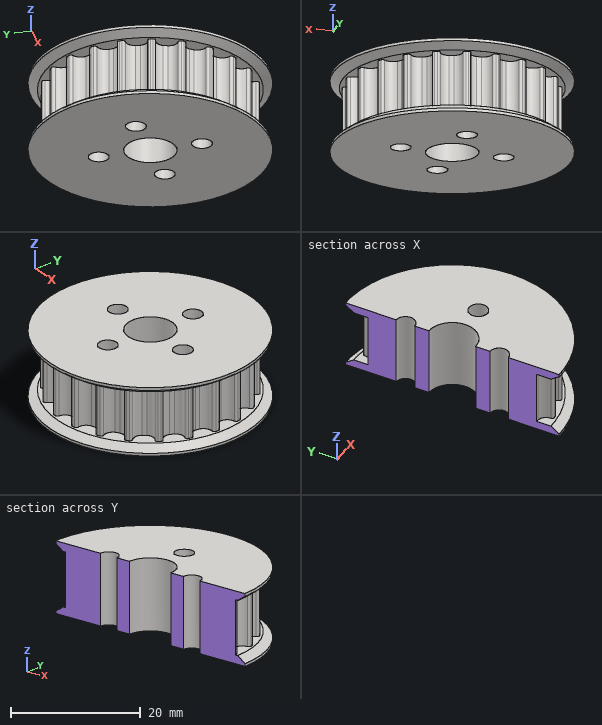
import cadquery as cq
import math

tooth_count = 22
belt_pitch = 5.0
pitch_line_offset = 0.5715
groove_depth = 2.06
groove_half_width = 1.74
floor_half_width = 0.38
tip_radius = 0.4

total_height = 12.0
flange_diameter = 37.73
flange_thickness = 1.5
flange_rim_thickness = 0.5
flange_inner_diameter = 34.8

bore_diameter = 8.2
screw_hole_diameter = 3.2
screw_circle_radius = 8.25
screw_count = 4

tip_circle_radius = tooth_count * belt_pitch / (2 * math.pi) - pitch_line_offset
floor_y = groove_depth - tip_circle_radius
tooth_height = total_height - 2 * flange_thickness


def rotated(point, angle):
    x, y = point
    cosine = math.cos(angle)
    sine = math.sin(angle)
    return (x * cosine - y * sine, x * sine + y * cosine)


def mirrored(point):
    x, y = point
    return (-x, y)


def point_on_circle(center, radius, angle):
    return (center[0] + radius * math.cos(angle), center[1] + radius * math.sin(angle))


def make_toothed_core():
    """Disc whose outline repeats one groove: flat floor, round flanks and rounded tooth tips."""
    floor_corner = (floor_half_width, floor_y)

    tip_center_x = groove_half_width + tip_radius
    tip_center_y = -math.sqrt((tip_circle_radius - tip_radius) ** 2 - tip_center_x**2)
    tip_center = (tip_center_x, tip_center_y)
    land_angle = math.atan2(tip_center_y, tip_center_x)
    land_corner = point_on_circle((0, 0), tip_circle_radius, land_angle)
    tip_mid = point_on_circle(tip_center, tip_radius, (land_angle - math.pi) / 2)

    flank_end = (groove_half_width, tip_center_y)
    flank_width = groove_half_width - floor_half_width
    flank_height = tip_center_y - floor_y
    flank_radius = (flank_width**2 + flank_height**2) / (2 * flank_width)
    flank_center = (groove_half_width - flank_radius, tip_center_y)
    flank_mid_angle = -math.asin(flank_height / flank_radius) / 2
    flank_mid = point_on_circle(flank_center, flank_radius, flank_mid_angle)

    pitch_angle = 2 * math.pi / tooth_count
    land_mid = point_on_circle((0, 0), tip_circle_radius, (pitch_angle - math.pi) / 2)
    next_land_corner = rotated(mirrored(land_corner), pitch_angle)

    outline = (
        cq.Workplane("XY")
        .workplane(offset=flange_thickness)
        .moveTo(*mirrored(land_corner))
    )
    for index in range(tooth_count):
        angle = index * pitch_angle
        outline = (
            outline
            .threePointArc(rotated(mirrored(tip_mid), angle), rotated(mirrored(flank_end), angle))
            .threePointArc(rotated(mirrored(flank_mid), angle), rotated(mirrored(floor_corner), angle))
            .lineTo(*rotated(floor_corner, angle))
            .threePointArc(rotated(flank_mid, angle), rotated(flank_end, angle))
            .threePointArc(rotated(tip_mid, angle), rotated(land_corner, angle))
            .threePointArc(rotated(land_mid, angle), rotated(next_land_corner, angle))
        )
    return outline.close().extrude(tooth_height)


def make_bottom_flange():
    """Disc with a straight rim and a conical face towards the teeth."""
    outer_radius = flange_diameter / 2
    inner_radius = flange_inner_diameter / 2
    return (
        cq.Workplane("XZ")
        .moveTo(0, 0)
        .lineTo(outer_radius, 0)
        .lineTo(outer_radius, flange_rim_thickness)
        .lineTo(inner_radius, flange_thickness)
        .lineTo(0, flange_thickness)
        .close()
        .revolve(360, (0, 0, 0), (0, 1, 0))
    )


def make_holes():
    bore = cq.Workplane("XY").circle(bore_diameter / 2).extrude(total_height)
    screw_holes = (
        cq.Workplane("XY")
        .polarArray(screw_circle_radius, 0, 360, screw_count)
        .circle(screw_hole_diameter / 2)
        .extrude(total_height)
    )
    return bore.union(screw_holes)


bottom_flange = make_bottom_flange()
top_flange = bottom_flange.mirror("XY").translate((0, 0, total_height))
result = make_toothed_core().union(bottom_flange).union(top_flange).cut(make_holes())